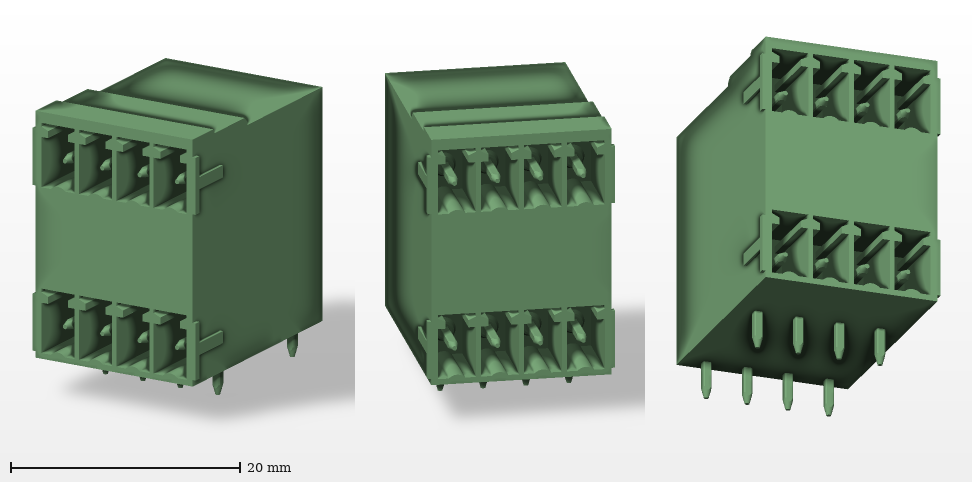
import cadquery as cq


pole_count = 4
pole_pitch = 3.8
row_pitch = 15.18
row_offsets = [0, row_pitch]
pole_xs = [(i - (pole_count - 1) / 2) * pole_pitch for i in range(pole_count)]

overall_height = 25.9
housing_width = 16.0
housing_depth = 21.9
front_height = 22.6
middle_height = 22.2
rear_height = 21.42
front_step_y = 3.68
front_step_chamfer = 0.2
rear_step_y = 9.22
rear_step_chamfer = 0.47

ear_thickness = 0.3
ear_bottom = 0.6
ear_height = 5.23
ear_flange_depth = 0.6
ear_rib_bottom = 2.77
ear_rib_height = 1.11
ear_rib_length = 4.58

cavity_width = 3.37
cavity_bottom = 0.52
cavity_top = 6.42
cavity_depth = 6.48
lug_reach = 0.67
lug_bottom = 5.13
lug_tip_top = 5.78
lug_root_top = 6.09
key_width = 1.48
key_height = 0.3

collar_base_radius = 1.1
collar_shoulder_radius = 0.85
collar_face_radius = 0.65
collar_shoulder_height = 0.52
collar_height = 0.6

pin_width = 0.78
pin_edge_chamfer = 0.1
pin_tip_radius = 0.2
pin_taper_length = 0.65
contact_z = 2.87
contact_tip_y = 1.15
solder_tail_length = overall_height - front_height
solder_ys = [8.03, 20.62]


def make_block():
    """Stepped housing block without ears or cavities."""
    profile = (
        cq.Workplane("YZ")
        .moveTo(0, 0)
        .lineTo(0, front_height)
        .lineTo(front_step_y - front_step_chamfer, front_height)
        .lineTo(front_step_y, front_height - front_step_chamfer)
        .lineTo(front_step_y, middle_height)
        .lineTo(rear_step_y - rear_step_chamfer, middle_height)
        .lineTo(rear_step_y, middle_height - rear_step_chamfer)
        .lineTo(rear_step_y, rear_height)
        .lineTo(housing_depth, rear_height)
        .lineTo(housing_depth, 0)
        .close()
    )
    return profile.extrude(housing_width / 2, both=True)


def make_ears(row_z):
    """T-shaped ears of one row, reaching through the block to both sides."""
    ear_span = housing_width + 2 * ear_thickness
    flange = cq.Workplane("XY").box(ear_span, ear_flange_depth, ear_height, centered=(True, False, False))
    rib = cq.Workplane("XY").box(ear_span, ear_rib_length, ear_rib_height, centered=(True, False, False))
    flange = flange.translate((0, 0, row_z + ear_bottom))
    rib = rib.translate((0, 0, row_z + ear_rib_bottom))
    return flange.union(rib)


def make_cavity(pole_x, row_z):
    """Plug cavity narrowed by two lugs, with a rounded key along its bottom."""
    wall_x = cavity_width / 2
    lug_x = wall_x - lug_reach
    key_x = key_width / 2
    outline = (
        cq.Workplane("XZ")
        .moveTo(-wall_x, cavity_bottom)
        .lineTo(-key_x, cavity_bottom)
        .threePointArc((0, cavity_bottom + key_height), (key_x, cavity_bottom))
        .lineTo(wall_x, cavity_bottom)
        .lineTo(wall_x, lug_bottom)
        .lineTo(lug_x, lug_bottom)
        .lineTo(lug_x, lug_tip_top)
        .lineTo(wall_x, lug_root_top)
        .lineTo(wall_x, cavity_top)
        .lineTo(-wall_x, cavity_top)
        .lineTo(-wall_x, lug_root_top)
        .lineTo(-lug_x, lug_tip_top)
        .lineTo(-lug_x, lug_bottom)
        .lineTo(-wall_x, lug_bottom)
        .close()
    )
    return outline.extrude(-cavity_depth).translate((pole_x, 0, row_z))


def make_collar(pole_x, row_z):
    """Tapered collar standing on the cavity floor and pointing to the plug face."""
    profile = (
        cq.Workplane("XY")
        .moveTo(0, cavity_depth)
        .lineTo(collar_base_radius, cavity_depth)
        .lineTo(collar_shoulder_radius, cavity_depth - collar_shoulder_height)
        .lineTo(collar_face_radius, cavity_depth - collar_height)
        .lineTo(0, cavity_depth - collar_height)
        .close()
    )
    collar = profile.revolve(360, (0, 0, 0), (0, 1, 0))
    return collar.translate((pole_x, 0, row_z + contact_z))


def make_leg(length):
    """Straight pin leg rising from a conical tip at the origin along +Z."""
    bar = cq.Workplane("XY").rect(pin_width, pin_width).extrude(length)
    bar = bar.edges("|Z").chamfer(pin_edge_chamfer)
    cone_slope = (pin_width / 2 - pin_tip_radius) / pin_taper_length
    full_radius = pin_width
    full_radius_z = (full_radius - pin_tip_radius) / cone_slope
    envelope = (
        cq.Workplane("XZ")
        .lineTo(pin_tip_radius, 0)
        .lineTo(full_radius, full_radius_z)
        .lineTo(full_radius, length)
        .lineTo(0, length)
        .close()
        .revolve(360, (0, 0, 0), (0, 1, 0))
    )
    return bar.intersect(envelope)


def make_pin(pole_x, row_z, solder_y):
    """L-shaped pin with a contact leg along Y and a solder leg down through the base."""
    axis_z = row_z + contact_z
    contact_leg = make_leg(solder_y + pin_width / 2 - contact_tip_y)
    contact_leg = contact_leg.rotate((0, 0, 0), (1, 0, 0), -90)
    contact_leg = contact_leg.translate((pole_x, contact_tip_y, axis_z))
    solder_leg = make_leg(solder_tail_length + axis_z + pin_width / 2)
    solder_leg = solder_leg.translate((pole_x, solder_y, -solder_tail_length))
    return contact_leg.union(solder_leg)


pins = []
for row_z, solder_y in zip(row_offsets, solder_ys):
    for pole_x in pole_xs:
        pins.append(make_pin(pole_x, row_z, solder_y))

housing = make_block()
for row_z in row_offsets:
    housing = housing.union(make_ears(row_z))
    for pole_x in pole_xs:
        housing = housing.cut(make_cavity(pole_x, row_z))
        housing = housing.union(make_collar(pole_x, row_z))
for pin in pins:
    housing = housing.cut(pin)

pin_solids = [pin.solids().val() for pin in pins]
result = cq.Compound.makeCompound([housing.solids().val(), *pin_solids])